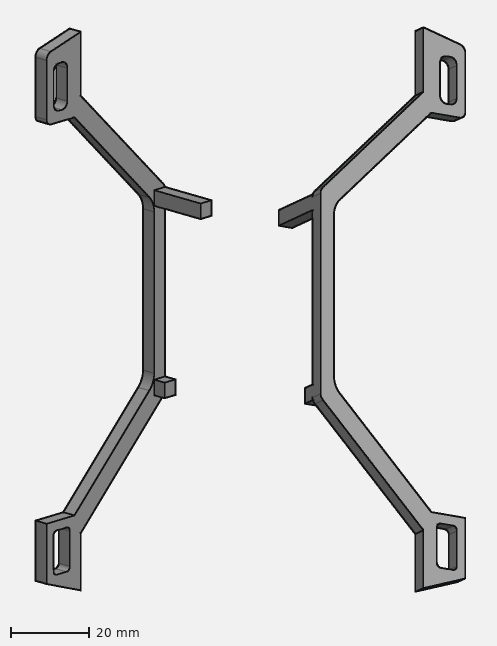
import cadquery as cq

height = 149.5
depth = 43.3
plate_thickness = 4.0
spine_width = 4.0
spine_front = depth - spine_width

lug_depth = 12.5
upper_lug_bottom = 127.0
upper_lug_drop = 3.3
lower_lug_top = 20.6
lower_lug_rise = 4.5

upper_arm_start = 132.3
lower_arm_start = 15.4
arm_run = depth - lug_depth
arm_step = 7.6

inner_bend_radius = 6.0
outer_bend_radius = 2.2
upper_lug_tip_radius = 2.1
upper_lug_corner_radius = 1.6

upper_slot_width = 5.0
upper_slot_length = 12.7
upper_slot_y = 5.1
upper_slot_z = 136.5
upper_slot_radius = 2.0
lower_slot_width = 6.0
lower_slot_length = 11.8
lower_slot_y = 5.5
lower_slot_z = 12.1
lower_slot_radius = 1.2

tab_height = 4.2
upper_tab_end = 20.6
upper_tab_bottom = 97.0
lower_tab_end = 7.8
lower_tab_bottom = 46.3


def round_edge(body, y, z, radius):
    """Round the X-parallel edge nearest to the given corner."""
    corner = (plate_thickness / 2, y, z)
    return body.edges(cq.selectors.NearestToPointSelector(corner)).fillet(radius)


def make_plate():
    upper_outer_bend = upper_arm_start - arm_run
    lower_outer_bend = lower_arm_start + arm_run
    upper_inner_sum = upper_arm_start + lug_depth - arm_step
    lower_inner_difference = lower_arm_start - lug_depth + arm_step
    upper_inner_bend = upper_inner_sum - spine_front
    lower_inner_bend = lower_inner_difference + spine_front
    outline = [
        (lug_depth, height),
        (0, height - upper_lug_drop),
        (0, upper_lug_bottom),
        (upper_inner_sum - upper_lug_bottom, upper_lug_bottom),
        (spine_front, upper_inner_bend),
        (spine_front, lower_inner_bend),
        (lower_lug_top - lower_inner_difference, lower_lug_top),
        (0, lower_lug_top),
        (0, lower_lug_rise),
        (lug_depth, 0),
        (lug_depth, lower_arm_start),
        (depth, lower_outer_bend),
        (depth, upper_outer_bend),
        (lug_depth, upper_arm_start),
    ]
    plate = cq.Workplane("YZ").polyline(outline).close().extrude(plate_thickness)
    roundings = [
        (0, height - upper_lug_drop, upper_lug_tip_radius),
        (0, upper_lug_bottom, upper_lug_corner_radius),
        (spine_front, upper_inner_bend, inner_bend_radius),
        (spine_front, lower_inner_bend, inner_bend_radius),
        (depth, upper_outer_bend, outer_bend_radius),
        (depth, lower_outer_bend, outer_bend_radius),
    ]
    for y, z, radius in roundings:
        plate = round_edge(plate, y, z, radius)
    return plate


def make_slot(y, z, width, length, radius):
    block = cq.Workplane("YZ").center(y, z).rect(width, length).extrude(plate_thickness)
    return block.edges("|X").fillet(radius)


def make_tab(end, bottom):
    length = end - plate_thickness
    tab = cq.Workplane("XY").box(length, spine_width, tab_height, centered=False)
    return tab.translate((plate_thickness, spine_front, bottom))


upper_slot = make_slot(upper_slot_y, upper_slot_z, upper_slot_width, upper_slot_length, upper_slot_radius)
lower_slot = make_slot(lower_slot_y, lower_slot_z, lower_slot_width, lower_slot_length, lower_slot_radius)

result = (
    make_plate()
    .cut(upper_slot)
    .cut(lower_slot)
    .union(make_tab(upper_tab_end, upper_tab_bottom))
    .union(make_tab(lower_tab_end, lower_tab_bottom))
)